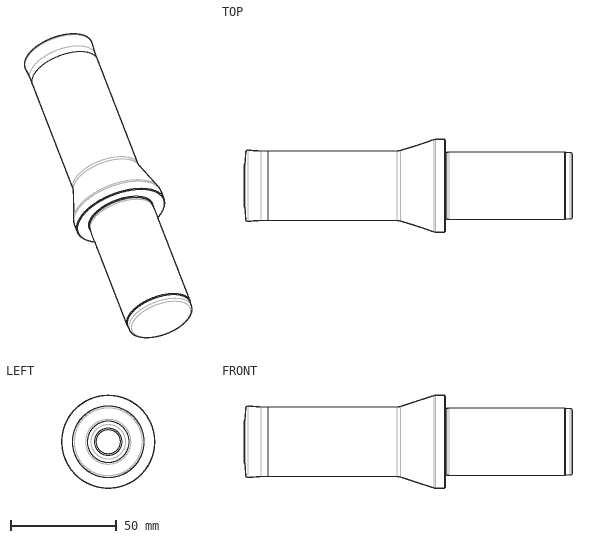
import cadquery as cq
import math

overall_length = 155.0

tip_length = 11.3
tip_diameter = 34.0
back_taper_end = 8.0
corner_radius = 1.0
ridge_radius = 9.8
ridge_foot_radius = 10.65
ridge_height = 0.32
valley_radius = 8.15
valley_angle = 6.0
face_angle = 4.0
pocket_rim_radius = 6.45
pocket_floor_radius = 5.7
pocket_depth = 0.4

body_diameter = 33.0
flange_diameter = 44.0
flange_back = 95.0
flare_angle = 18.0
flare_end = 90.0
flare_root_fillet = 5.0
flare_rim_fillet = 3.0
flange_edge_chamfer = 0.4
shank_diameter = 32.0
relief_diameter = 31.5
neck_length = 0.75
shank_lead_angle = 15.0
end_step_length = 3.1
end_step_chamfer = 0.5
end_fillet = 1.0


def cone_length(rise, angle):
    """Axial length of a cone that changes radius by rise at the given half angle."""
    return rise / math.tan(math.radians(angle))


def cone_drop(outer_radius, inner_radius, angle):
    """Axial drop across a ring whose face leans by the given angle from square."""
    return (outer_radius - inner_radius) * math.tan(math.radians(angle))


def turn(profile):
    """Revolve a closed (x, radius) profile about the X axis."""
    return profile.close().revolve(360, (0, 0, 0), (1, 0, 0))


def circular_edge_at(x, radius):
    """Selector for the circular edge at one axial place and radius."""
    margin = 0.05
    return cq.selectors.BoxSelector(
        (x - margin, -radius - margin, -radius - margin),
        (x + margin, radius + margin, radius + margin),
        boundingbox=True,
    )


def make_tip():
    """Tapered tip with a rippled front face: ring, groove and centre pocket."""
    valley_x = cone_drop(ridge_radius, valley_radius, valley_angle)
    rim_x = valley_x - cone_drop(valley_radius, pocket_rim_radius, face_angle)
    corner_x = ridge_height + cone_drop(tip_diameter / 2, ridge_foot_radius, face_angle)
    profile = (
        cq.Workplane("XZ")
        .moveTo(rim_x + pocket_depth, 0)
        .lineTo(rim_x + pocket_depth, pocket_floor_radius)
        .lineTo(rim_x, pocket_rim_radius)
        .lineTo(valley_x, valley_radius)
        .lineTo(0, ridge_radius)
        .lineTo(ridge_height, ridge_foot_radius)
        .lineTo(corner_x, tip_diameter / 2)
        .lineTo(back_taper_end, body_diameter / 2)
        .lineTo(tip_length, body_diameter / 2)
        .lineTo(tip_length, 0)
    )
    tip = turn(profile)
    return tip.edges(circular_edge_at(corner_x, tip_diameter / 2)).fillet(corner_radius)


def make_holder():
    """Body, flared flange and shank in one piece."""
    body_radius = body_diameter / 2
    flange_radius = flange_diameter / 2
    shank_radius = shank_diameter / 2
    relief_radius = relief_diameter / 2
    flare_start = flare_end - cone_length(flange_radius - body_radius, flare_angle)
    neck_end = flange_back + neck_length
    shank_start = neck_end + cone_length(shank_radius - relief_radius, shank_lead_angle)
    end_step_start = overall_length - end_step_length
    profile = (
        cq.Workplane("XZ")
        .moveTo(tip_length, 0)
        .lineTo(tip_length, body_radius)
        .lineTo(flare_start, body_radius)
        .lineTo(flare_end, flange_radius)
        .lineTo(flange_back, flange_radius)
        .lineTo(flange_back, relief_radius)
        .lineTo(neck_end, relief_radius)
        .lineTo(shank_start, shank_radius)
        .lineTo(end_step_start - end_step_chamfer, shank_radius)
        .lineTo(end_step_start, relief_radius)
        .lineTo(overall_length, relief_radius)
        .lineTo(overall_length, 0)
    )
    holder = turn(profile)
    holder = holder.edges(circular_edge_at(flare_start, body_radius)).fillet(flare_root_fillet)
    holder = holder.edges(circular_edge_at(flare_end, flange_radius)).fillet(flare_rim_fillet)
    holder = holder.edges(circular_edge_at(flange_back, flange_radius)).chamfer(flange_edge_chamfer)
    return holder.edges(circular_edge_at(overall_length, relief_radius)).fillet(end_fillet)


tip = make_tip()
holder = make_holder()

result = cq.Compound.makeCompound([tip.val(), holder.val()])